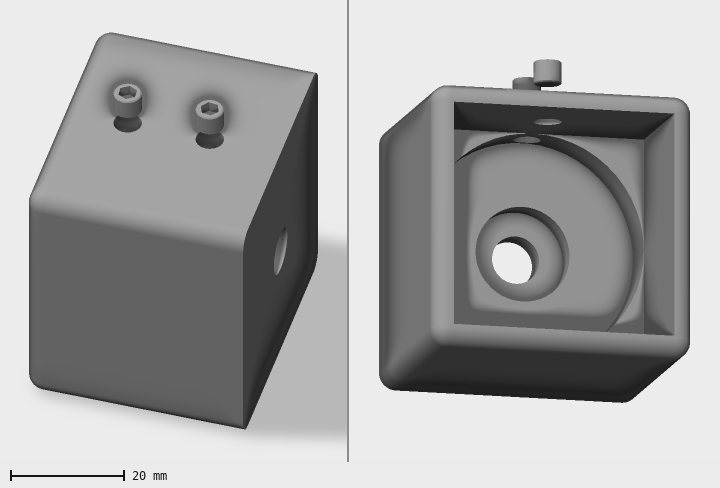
import cadquery as cq
import math

HOUSING_LENGTH = 40.0
HOUSING_SIDE = 47.0
EDGE_RADIUS = 3.05
POCKET_SIDE = 40.0
POCKET_DEPTH = 22.0

RECESS_DIAMETER = POCKET_SIDE
RECESS_DEPTH = 8.0
COUNTERBORE_DIAMETER = 17.05
COUNTERBORE_DEPTH = 5.0
BORE_DIAMETER = 8.5

SCREW_DIAMETER = 5.0
SCREW_LENGTH = 4.0
SCREW_CHAMFER = 0.2
SOCKET_FLATS = 3.0
SOCKET_DEPTH = 2.0
ASSEMBLY_HEIGHT = 54.3
FIRST_SCREW_X = 12.0
SCREW_SPACING = 15.05
SOCKET_ANGLES = [34, -8]

SCREW_X_POSITIONS = [FIRST_SCREW_X + i * SCREW_SPACING for i in range(len(SOCKET_ANGLES))]
HOUSING_MIDDLE_Z = HOUSING_SIDE / 2
SCREW_BOTTOM_Z = ASSEMBLY_HEIGHT - SCREW_LENGTH


def make_bore(diameter, start_x, end_x):
    """Cylinder along the housing axis between two X positions."""
    return (
        cq.Workplane("YZ", origin=(start_x, 0, HOUSING_MIDDLE_Z))
        .circle(diameter / 2)
        .extrude(end_x - start_x)
    )


def make_housing():
    block = (
        cq.Workplane("XY")
        .box(HOUSING_LENGTH, HOUSING_SIDE, HOUSING_SIDE, centered=(False, True, False))
        .edges("|X or <X")
        .fillet(EDGE_RADIUS)
    )

    pocket = cq.Workplane("XY").box(
        POCKET_DEPTH, POCKET_SIDE, POCKET_SIDE, centered=(False, True, True)
    ).translate((0, 0, HOUSING_MIDDLE_Z))
    housing = block.cut(pocket)

    recess_floor_x = POCKET_DEPTH + RECESS_DEPTH
    counterbore_floor_x = recess_floor_x + COUNTERBORE_DEPTH
    housing = housing.cut(make_bore(RECESS_DIAMETER, POCKET_DEPTH, recess_floor_x))
    housing = housing.cut(make_bore(COUNTERBORE_DIAMETER, recess_floor_x, counterbore_floor_x))
    housing = housing.cut(make_bore(BORE_DIAMETER, counterbore_floor_x, HOUSING_LENGTH))

    screw_holes = (
        cq.Workplane("XY", origin=(0, 0, HOUSING_MIDDLE_Z))
        .pushPoints([(x, 0) for x in SCREW_X_POSITIONS])
        .circle(SCREW_DIAMETER / 2)
        .extrude(HOUSING_SIDE - HOUSING_MIDDLE_Z)
    )
    return housing.cut(screw_holes)


def make_set_screw(x, socket_angle):
    socket_corner_diameter = SOCKET_FLATS / math.cos(math.pi / 6)
    screw = (
        cq.Workplane("XY")
        .circle(SCREW_DIAMETER / 2)
        .extrude(SCREW_LENGTH)
        .faces("<Z or >Z")
        .chamfer(SCREW_CHAMFER)
    )
    socket = (
        cq.Workplane("XY", origin=(0, 0, SCREW_LENGTH - SOCKET_DEPTH))
        .polygon(6, socket_corner_diameter)
        .extrude(SOCKET_DEPTH)
        .rotate((0, 0, 0), (0, 0, 1), socket_angle)
    )
    return screw.cut(socket).translate((x, 0, SCREW_BOTTOM_Z))


housing = make_housing()
set_screws = [make_set_screw(x, angle) for x, angle in zip(SCREW_X_POSITIONS, SOCKET_ANGLES)]

result = cq.Compound.makeCompound([housing.val(), *[screw.val() for screw in set_screws]])